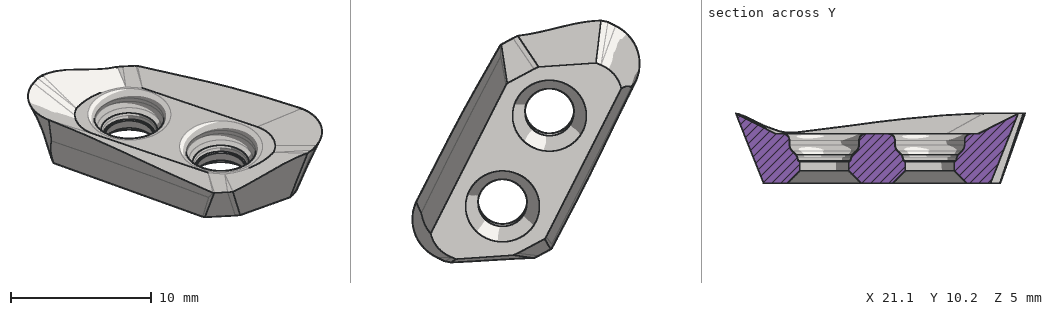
import cadquery as cq
import math


TOP_Z = 5.0
FLOOR_Z = 3.53
LOW_EDGE_Z = 3.62
BAND_END_Z = 2.83
BAND_MID_Z = 2.95

FRONT_START = (-7.9, -3.54)
FRONT_END = (4.32, -3.86)
CHAMFER_START = (4.5, -3.84)
CHAMFER_END = (6.31, -2.64)
END_START = (6.6, -2.42)
END_FINISH = (8.74, 1.07)
CORNER_START = (8.77, 1.44)
CORNER_MID = (8.58, 2.62)

FLANK_RELIEF = 0.33
FLANK_SLOPE = (FRONT_END[1] - FRONT_START[1]) / (FRONT_END[0] - FRONT_START[0])
FLANK_CORNER_X = -7.88
FLANK_CORNER_Z = BAND_END_Z / 2
BAND_MID_X = -1.0
BAND_END_X = 5.33

EDGE_START = (-7.57, -4.88, TOP_Z)
EDGE_SAG = [(-2.9, -5.02, 4.69), (0.2, -5.1, 4.34), (3.1, -5.11, 3.95)]
EDGE_END = (5.83, -5.1, LOW_EDGE_Z)
EDGE_CHAMFER_START = (5.93, -5.06, LOW_EDGE_Z)
EDGE_CHAMFER_END = (6.72, -4.54, LOW_EDGE_Z)
EDGE_RISE = [(7.04, -4.32, LOW_EDGE_Z), (8.5, -2.22, 4.3), (10.0, -0.1, 4.97), (10.42, 0.6, TOP_Z)]
EDGE_BLEND_END = (10.55, 1.07, TOP_Z)
EDGE_CORNER_START = (10.55, 1.68, TOP_Z)
EDGE_CORNER_MID = (9.63, 3.95, TOP_Z)

FLOOR_HALF_WIDTH = 3.14
FLOOR_RADIUS = 2.5
FLOOR_ARC_X = 4.92
FLOOR_ARC_Y = FLOOR_HALF_WIDTH - FLOOR_RADIUS
FLOOR_BLEND_ANGLE = 12
FLOOR_CORNER_ANGLE = 30
FLOOR_FRONT_END = (4.37, -FLOOR_HALF_WIDTH, FLOOR_Z)
FLOOR_CHAMFER_END = (5.48, -2.7, FLOOR_Z)
FLOOR_END_MID = (6.81, -1.05, FLOOR_Z)

HOLE_X = 3.75
HOLE_Y = -0.065
RIM_ROUND = 0.48
HEAD_RADIUS = 2.47
HEAD_DEPTH = 0.78
SEAT_ROUND = 0.61
SEAT_RADIUS = 2.01
NECK = [(1.93, 1.65), (1.85, 1.92)]
BORE_RADIUS = 1.74
BORE_START = 1.99
BORE_END = 2.64


def turned(shape):
    """The same shape after a half turn about Z."""
    return shape.rotate(cq.Vector(0, 0, 0), cq.Vector(0, 0, 1), 180)


def opposite(point):
    """The same XYZ point after a half turn about Z."""
    return (-point[0], -point[1], point[2])


def on_base(point):
    return (point[0], point[1], 0)


def on_flank(x, z):
    """The point of the long flank's plane at the given X and Z."""
    return (x, FRONT_START[1] + FLANK_SLOPE * (x - FRONT_START[0]) - FLANK_RELIEF * z, z)


def on_floor_arc(degrees):
    angle = math.radians(degrees)
    x = FLOOR_ARC_X + FLOOR_RADIUS * math.cos(angle)
    y = FLOOR_ARC_Y + FLOOR_RADIUS * math.sin(angle)
    return (x, y, FLOOR_Z)


def line(start, end):
    return cq.Edge.makeLine(cq.Vector(*start), cq.Vector(*end))


def arc(start, middle, end):
    return cq.Edge.makeThreePointArc(cq.Vector(*start), cq.Vector(*middle), cq.Vector(*end))


def spline(points):
    return cq.Edge.makeSpline([cq.Vector(*point) for point in points])


def floor_arc(start, end):
    return arc(on_floor_arc(start), on_floor_arc((start + end) / 2), on_floor_arc(end))


def ruled(lower, upper):
    return cq.Face.makeRuledSurface(lower, upper)


def flat(*edges):
    return cq.Face.makeFromWires(cq.Wire.assembleEdges(edges))


def triangle(a, b, c):
    return flat(line(a, b), line(b, c), line(c, a))


def patch(*edges):
    """A smooth face filling a closed loop of edges."""
    return cq.Face.makeNSidedSurface(edges, [])


front_start, front_end = on_base(FRONT_START), on_base(FRONT_END)
chamfer_start, chamfer_end = on_base(CHAMFER_START), on_base(CHAMFER_END)
end_start, end_finish = on_base(END_START), on_base(END_FINISH)
corner_start = on_base(CORNER_START)

base_front = line(front_start, front_end)
base_front_blend = line(front_end, chamfer_start)
base_chamfer = line(chamfer_start, chamfer_end)
base_end_blend = line(chamfer_end, end_start)
base_end = line(end_start, end_finish)
base_corner_blend = line(end_finish, corner_start)
base_corner = arc(corner_start, on_base(CORNER_MID), opposite(front_start))

edge_front = spline([EDGE_START, *EDGE_SAG, EDGE_END])
edge_front_blend = line(EDGE_END, EDGE_CHAMFER_START)
edge_chamfer = line(EDGE_CHAMFER_START, EDGE_CHAMFER_END)
edge_end_blend = line(EDGE_CHAMFER_END, EDGE_RISE[0])
edge_end = spline(EDGE_RISE)
edge_corner_blend = line(EDGE_RISE[-1], EDGE_BLEND_END)
edge_corner_straight = line(EDGE_BLEND_END, EDGE_CORNER_START)
edge_corner = arc(EDGE_CORNER_START, EDGE_CORNER_MID, opposite(EDGE_START))

floor_front = line(opposite(on_floor_arc(90)), FLOOR_FRONT_END)
floor_chamfer = line(FLOOR_FRONT_END, FLOOR_CHAMFER_END)
floor_end = arc(FLOOR_CHAMFER_END, FLOOR_END_MID, on_floor_arc(FLOOR_BLEND_ANGLE))
floor_corner_blend = floor_arc(FLOOR_BLEND_ANGLE, FLOOR_CORNER_ANGLE)
floor_corner = floor_arc(FLOOR_CORNER_ANGLE, 90)

band_start = on_flank(EDGE_START[0], BAND_END_Z)
band_end = on_flank(BAND_END_X, BAND_END_Z)
band_underside = arc(band_start, on_flank(BAND_MID_X, BAND_MID_Z), band_end)
band_start_side = line(band_start, EDGE_START)
band_end_side = line(band_end, EDGE_END)
flank_start_side = arc(front_start, on_flank(FLANK_CORNER_X, FLANK_CORNER_Z), band_start)
flank_end_side = line(front_end, band_end)


def side_faces():
    """Flanks from the base up to the cutting edge."""
    corner_side = line(corner_start, EDGE_CORNER_START)
    return [
        flat(base_front, flank_end_side, band_underside, flank_start_side),
        ruled(band_underside, edge_front),
        patch(
            base_front_blend,
            line(chamfer_start, EDGE_CHAMFER_START),
            edge_front_blend,
            band_end_side,
            flank_end_side,
        ),
        ruled(base_chamfer, edge_chamfer),
        ruled(base_end_blend, edge_end_blend),
        ruled(base_end, edge_end),
        ruled(base_corner_blend, edge_corner_blend),
        triangle(corner_start, EDGE_BLEND_END, EDGE_CORNER_START),
        patch(base_corner, corner_side, edge_corner, turned(band_start_side), turned(flank_start_side)),
    ]


def rake_faces():
    """Rake from the cutting edge down to the floor."""
    return [
        ruled(floor_front, edge_front),
        triangle(FLOOR_FRONT_END, EDGE_END, EDGE_CHAMFER_START),
        ruled(floor_chamfer, edge_chamfer),
        triangle(FLOOR_CHAMFER_END, EDGE_CHAMFER_END, EDGE_RISE[0]),
        ruled(floor_end, edge_end),
        triangle(on_floor_arc(FLOOR_BLEND_ANGLE), EDGE_RISE[-1], EDGE_BLEND_END),
        ruled(floor_corner_blend, edge_corner_straight),
        ruled(floor_corner, edge_corner),
    ]


def insert_body():
    half_skin = side_faces() + rake_faces()
    half_base = [
        base_front,
        base_front_blend,
        base_chamfer,
        base_end_blend,
        base_end,
        base_corner_blend,
        base_corner,
    ]
    half_floor = [floor_front, floor_chamfer, floor_end, floor_corner_blend, floor_corner]
    skin = half_skin + [turned(face) for face in half_skin]
    for half_outline in (half_base, half_floor):
        skin.append(flat(*half_outline, *[turned(edge) for edge in half_outline]))
    return cq.Solid.makeSolid(cq.Shell.makeShell(skin))


def screw_hole():
    """Space taken by a screw hole on the Z axis, from the base up to the floor."""
    slant = math.sqrt(0.5)
    seat_top_radius = HEAD_RADIUS - SEAT_ROUND * (1 - slant)
    seat_top_depth = HEAD_DEPTH + SEAT_ROUND * slant
    seat_end_depth = seat_top_depth + seat_top_radius - SEAT_RADIUS
    flare_radius = BORE_RADIUS + FLOOR_Z - BORE_END
    rim_mid = RIM_ROUND * (1 - slant)
    profile = (
        cq.Workplane("XZ")
        .moveTo(0, FLOOR_Z)
        .lineTo(HEAD_RADIUS + RIM_ROUND, FLOOR_Z)
        .threePointArc((HEAD_RADIUS + rim_mid, FLOOR_Z - rim_mid), (HEAD_RADIUS, FLOOR_Z - RIM_ROUND))
        .lineTo(HEAD_RADIUS, FLOOR_Z - HEAD_DEPTH)
        .tangentArcPoint((seat_top_radius, FLOOR_Z - seat_top_depth), relative=False)
        .lineTo(SEAT_RADIUS, FLOOR_Z - seat_end_depth)
    )
    for radius, depth in NECK:
        profile = profile.lineTo(radius, FLOOR_Z - depth)
    return (
        profile.lineTo(BORE_RADIUS, FLOOR_Z - BORE_START)
        .lineTo(BORE_RADIUS, FLOOR_Z - BORE_END)
        .lineTo(flare_radius, 0)
        .lineTo(0, 0)
        .close()
        .revolve(360, (0, 0, 0), (0, 1, 0))
    )


hole = screw_hole().translate((HOLE_X, HOLE_Y, 0))
result = cq.Workplane(insert_body()).cut(hole).cut(turned(hole.val()))